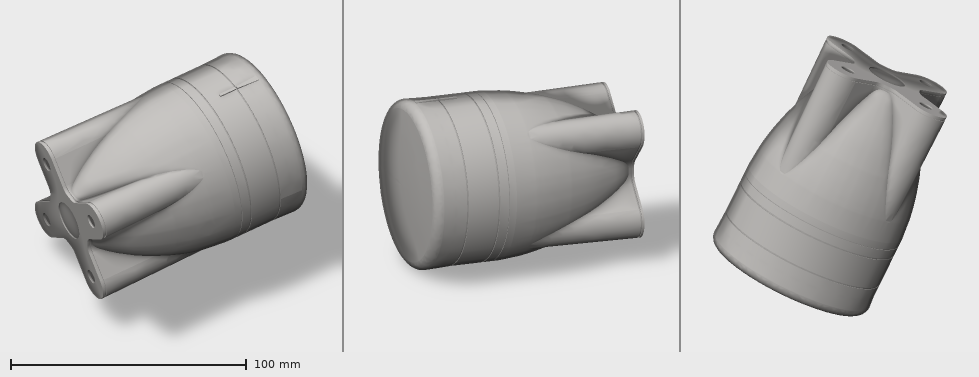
import cadquery as cq
import math

total_length = 99.05
body_radius = 36.3

groove_depth = 0.4
cutter_clearance = 1.0
groove_width = 0.7
fine_groove_width = 0.3
knob_groove_y = 82.4
collar_groove_y = 68.1
fine_groove_y = 63.8

bowl_top_y = 60.6
bowl_middle_y = 24.4
bowl_middle_radius = 27.9
bowl_end_y = 2.0
bowl_end_radius = 14.9

arm_half_width = 8.3
arm_end_offset = 19.8
arm_length = 52.5
arm_draft = 1.0
waist_flat_half = 1.3
waist_fillet = 5.25
plate_thickness = 1.0
foot_groove_width = 0.7
foot_groove_depth = 0.4
screw_offset = 18.3
screw_radius = 3.1
screw_recess_depth = 1.0
centre_radius = 8.5
centre_recess_depth = 0.6

knob_bottom_y = knob_groove_y + groove_width
knob_radius = 36.6
knob_shoulder_y = 93.3
knob_corner_radius = 4.0
crown_height = 1.8

mark_top_z = 36.9
mark_root_depth = 1.0
mark_root_z = body_radius - mark_root_depth
mark_half_width = 0.6
mark_wide_half_width = 1.3
housing_mark_y = 74.7


def revolve_about_y(profile):
    return profile.close().revolve(360, (0, 0, 0), (0, 1, 0))


def ring_cutter(start_y, width):
    """Ring that cuts a shallow groove around the barrel."""
    floor_radius = body_radius - groove_depth
    ring = cq.Workplane("ZX", origin=(0, start_y, 0))
    return ring.circle(body_radius + cutter_clearance).circle(floor_radius).extrude(width)


def cross_outline(start_y, inset=0.0):
    """Four diagonal arms with round ends and a filleted flat between neighbours, facing +Y."""
    half_width = arm_half_width - inset
    fillet = waist_fillet + inset
    diagonal = math.sqrt(0.5)
    flat_end = waist_flat_half
    bend_end = flat_end + fillet * diagonal
    side_offset = half_width / diagonal
    waist = side_offset + bend_end - fillet * (1 - diagonal)
    bend_angle = math.pi / 8
    bend_middle = (waist + fillet * (1 - math.cos(bend_angle)), flat_end + fillet * math.sin(bend_angle))
    bend_finish = (side_offset + bend_end, bend_end)
    side = half_width * diagonal
    arm_start = (arm_end_offset + side, arm_end_offset - side)
    arm_tip = (arm_end_offset + side, arm_end_offset + side)

    def swap(point):
        return (point[1], point[0])

    def turned(point, quarter):
        angle = quarter * math.pi / 2
        return (
            point[0] * math.cos(angle) - point[1] * math.sin(angle),
            point[0] * math.sin(angle) + point[1] * math.cos(angle),
        )

    outline = cq.Workplane("ZX", origin=(0, start_y, 0)).moveTo(waist, -flat_end)
    for quarter in range(4):
        outline = (
            outline.lineTo(*turned((waist, flat_end), quarter))
            .threePointArc(turned(bend_middle, quarter), turned(bend_finish, quarter))
            .lineTo(*turned(arm_start, quarter))
            .threePointArc(turned(arm_tip, quarter), turned(swap(arm_start), quarter))
            .lineTo(*turned(swap(bend_finish), quarter))
            .threePointArc(turned(swap(bend_middle), quarter), turned((flat_end, waist), quarter))
        )
    return outline.close()


def index_mark(start_y, start_half_width, end_y, end_half_width):
    """Raised mark, symmetric about X = 0, standing proud of the barrel."""
    return (
        cq.Workplane("XY", origin=(0, 0, mark_root_z))
        .moveTo(-start_half_width, start_y)
        .lineTo(start_half_width, start_y)
        .lineTo(end_half_width, end_y)
        .lineTo(-end_half_width, end_y)
        .close()
        .extrude(mark_top_z - mark_root_z)
    )


def make_barrel():
    bowl_middle = (bowl_middle_radius, bowl_middle_y)
    barrel = revolve_about_y(
        cq.Workplane("XY")
        .moveTo(0, bowl_end_y)
        .lineTo(bowl_end_radius, bowl_end_y)
        .threePointArc(bowl_middle, (body_radius, bowl_top_y))
        .lineTo(body_radius, knob_bottom_y)
        .lineTo(0, knob_bottom_y)
    )
    mark = index_mark(housing_mark_y, mark_half_width, knob_bottom_y, mark_half_width)
    barrel = barrel.union(mark)
    grooves = [
        (knob_groove_y, groove_width),
        (collar_groove_y, groove_width),
        (fine_groove_y, fine_groove_width),
    ]
    for start_y, width in grooves:
        barrel = barrel.cut(ring_cutter(start_y, width))
    return barrel


def make_foot():
    arms_start_y = plate_thickness + foot_groove_width
    plate = cross_outline(0).extrude(plate_thickness)
    neck = cross_outline(plate_thickness, foot_groove_depth).extrude(foot_groove_width)
    arms = cross_outline(arms_start_y).extrude(arm_length - arms_start_y, taper=arm_draft)
    return plate.union(neck).union(arms)


def make_housing():
    housing = make_foot().union(make_barrel())
    foot_face = cq.Workplane("ZX")
    screw_recesses = (
        foot_face.rect(2 * screw_offset, 2 * screw_offset, forConstruction=True)
        .vertices()
        .circle(screw_radius)
        .extrude(screw_recess_depth)
    )
    centre_recess = foot_face.circle(centre_radius).extrude(centre_recess_depth)
    return housing.cut(screw_recesses).cut(centre_recess)


def make_knob():
    crown_edge_y = total_length - crown_height
    body = revolve_about_y(
        cq.Workplane("XY")
        .moveTo(0, knob_bottom_y)
        .lineTo(body_radius, knob_bottom_y)
        .lineTo(knob_radius, knob_shoulder_y)
        .lineTo(knob_radius, crown_edge_y)
        .threePointArc((knob_radius / 2, total_length - crown_height / 4), (0, total_length))
    )
    body = body.faces(">Y").edges("%CIRCLE").fillet(knob_corner_radius)
    mark = index_mark(knob_bottom_y, mark_half_width, knob_shoulder_y, mark_wide_half_width)
    return body.union(mark)


housing = make_housing()
knob = make_knob()
result = cq.Compound.makeCompound([housing.val(), knob.val()])